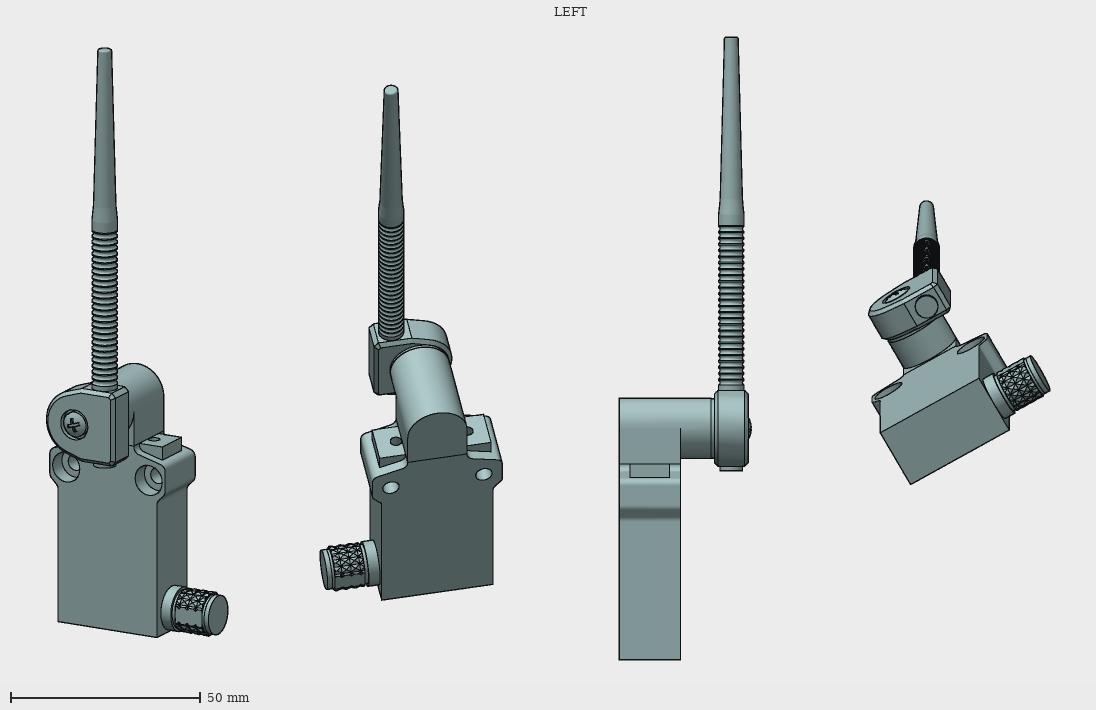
import cadquery as cq
import math


housing_width = 30.0
housing_depth = 16.2
housing_top = 51.8
lug_span = 35.0
lug_low_z = 39.87
lug_high_z = 47.5
shoulder_angle = math.radians(15)
housing_fillet = 2.0
lug_hole_x = 12.5
lug_hole_z = 43.0
lug_hole_diameter = 4.4
lug_counterbore_diameter = 8.2
lug_counterbore_depth = 5.0
pad_depth = 10.4
pad_hole_x = 9.6
pad_hole_diameter = 3.0
pad_hole_depth = 4.0

hub_diameter = 16.0
axis_z = 61.15
hub_front_y = -24.3
shaft_diameter = 12.0
shaft_collar_diameter = 15.8

lever_back_y = -25.1
lever_front_y = -34.1
lever_radius = 9.0
lever_half_height = 10.05
lever_right_x = 12.0
lever_flank_angle = math.radians(18)
lever_chamfer = 1.0
lever_corner = 1.2

screw_front_y = -34.9
screw_head_diameter = 6.8
screw_recess_diameter = 8.2
screw_recess_depth = 1.6
screw_dome_height = 1.1
screw_thread_diameter = 5.0
screw_thread_length = 12.0
cross_length = 3.6
cross_width = 0.8
cross_depth = 0.8
cross_angle = 18

rod_x = 6.7
rod_top = 164.5
rod_tip_diameter = 3.7
rod_tip_fillet = 0.5
rod_base_diameter = 6.0
ferrule_top = 121.5
ferrule_shoulder_z = 117.6
ferrule_bottom = 114.8
ferrule_diameter = 6.8
rod_core_diameter = 5.0
rod_foot_z = 49.9
coil_count = 26
coil_pitch = 1.625
coil_land = 0.3
coil_groove_depth = 0.4

connector_z = 6.15
flange_diameter = 12.0
flange_end_x = 18.0
grip_start_x = 18.9
grip_end_x = 27.0
nut_end_x = 27.7
connector_end_x = 29.0
connector_diameter = 10.6
stem_diameter = 8.0
grip_diameter = 12.0
grip_flats = 10.6
ring_groove_first_x = 20.05
ring_groove_count = 3
ring_groove_width = 2.5
knurl_count = 18
knurl_depth = 0.4
grip_chamfer = 0.3

housing_mid_y = -housing_depth / 2
lever_mid_y = (lever_back_y + lever_front_y) / 2
lever_top = axis_z + lever_half_height


def rod_along_y(diameter, start_y, end_y, x=0.0, z=axis_z):
    """Cylinder along Y running from start_y forward to end_y."""
    plane = cq.Plane(origin=(x, start_y, z), xDir=(1, 0, 0), normal=(0, -1, 0))
    return cq.Workplane(plane).circle(diameter / 2).extrude(start_y - end_y)


def rod_along_x(diameter, start_x, end_x):
    """Cylinder along X on the connector axis."""
    plane = cq.Workplane("YZ", origin=(start_x, housing_mid_y, connector_z))
    return plane.circle(diameter / 2).extrude(end_x - start_x)


def make_housing():
    """Plate with two mounting lugs, a rising neck root and a drilled pad on each shoulder."""
    half_width = housing_width / 2
    half_lug = lug_span / 2
    neck_x = hub_diameter / 2
    lug_root_z = lug_low_z - (half_lug - half_width)
    neck_root_z = lug_high_z + (half_lug - neck_x) * math.tan(shoulder_angle)
    body = (
        cq.Workplane("XZ")
        .moveTo(-half_width, 0)
        .lineTo(half_width, 0)
        .lineTo(half_width, lug_root_z)
        .lineTo(half_lug, lug_low_z)
        .lineTo(half_lug, lug_high_z)
        .lineTo(neck_x, neck_root_z)
        .lineTo(neck_x, housing_top)
        .lineTo(-neck_x, housing_top)
        .lineTo(-neck_x, neck_root_z)
        .lineTo(-half_lug, lug_high_z)
        .lineTo(-half_lug, lug_low_z)
        .lineTo(-half_width, lug_root_z)
        .close()
        .extrude(housing_depth)
        .edges("|Y")
        .filter(lambda edge: lug_root_z / 2 < edge.Center().z < (neck_root_z + housing_top) / 2)
        .fillet(housing_fillet)
    )
    pad = cq.Workplane("XY", origin=(0, housing_mid_y, lug_hole_z)).box(
        housing_width, pad_depth, housing_top - lug_hole_z, centered=(True, True, False)
    )
    body = body.union(pad)
    for side in (-1, 1):
        x = side * lug_hole_x
        hole = rod_along_y(lug_hole_diameter, 0, -housing_depth, x, lug_hole_z)
        counterbore = rod_along_y(
            lug_counterbore_diameter, lug_counterbore_depth - housing_depth, -housing_depth, x, lug_hole_z
        )
        pad_hole = (
            cq.Workplane("XY", origin=(side * pad_hole_x, housing_mid_y, housing_top))
            .circle(pad_hole_diameter / 2)
            .extrude(-pad_hole_depth)
        )
        body = body.cut(hole).cut(counterbore).cut(pad_hole)
    return body


def make_shaft():
    """Journal inside the hub with a collar between hub and lever."""
    journal = rod_along_y(shaft_diameter, -housing_depth, hub_front_y)
    return journal.union(rod_along_y(shaft_collar_diameter, hub_front_y, lever_back_y))


def make_operating_head(shaft):
    """Neck block rising into a round hub that is bored for the shaft."""
    neck = cq.Workplane("XY", origin=(0, housing_mid_y, housing_top)).box(
        hub_diameter, housing_depth, axis_z - housing_top, centered=(True, True, False)
    )
    return neck.union(rod_along_y(hub_diameter, 0, hub_front_y)).cut(shaft)


def make_screw():
    """Dome-headed screw with a cross recess, on the lever axis."""
    head_radius = screw_head_diameter / 2
    dome_edge_y = screw_front_y + screw_dome_height
    seat_y = lever_front_y + screw_recess_depth
    dome_radius = (head_radius**2 + screw_dome_height**2) / (2 * screw_dome_height)
    mid_radius = head_radius / 2
    dome_mid_y = screw_front_y + dome_radius - math.sqrt(dome_radius**2 - mid_radius**2)
    head = (
        cq.Workplane("XY", origin=(0, 0, axis_z))
        .moveTo(0, seat_y)
        .lineTo(head_radius, seat_y)
        .lineTo(head_radius, dome_edge_y)
        .threePointArc((mid_radius, dome_mid_y), (0, screw_front_y))
        .close()
        .revolve(360, (0, 0, 0), (0, 1, 0))
    )
    screw = head.union(rod_along_y(screw_thread_diameter, seat_y + screw_thread_length, seat_y))
    for arm_angle in (cross_angle, cross_angle + 90):
        arm = (
            cq.Workplane("XZ", origin=(0, screw_front_y, axis_z))
            .transformed(rotate=(0, 0, arm_angle))
            .rect(cross_length, cross_width)
            .extrude(-cross_depth)
        )
        screw = screw.cut(arm)
    return screw


def make_rod():
    """Tapered rod, its ferrule, and the core that passes through spring and lever."""
    base_radius = rod_base_diameter / 2
    ferrule_radius = ferrule_diameter / 2
    core_radius = rod_core_diameter / 2
    return (
        cq.Workplane("XZ", origin=(rod_x, lever_mid_y, 0))
        .moveTo(0, rod_foot_z)
        .lineTo(base_radius, rod_foot_z)
        .lineTo(base_radius, axis_z)
        .lineTo(core_radius, axis_z)
        .lineTo(core_radius, ferrule_bottom)
        .lineTo(ferrule_radius, ferrule_bottom)
        .lineTo(ferrule_radius, ferrule_shoulder_z)
        .lineTo(base_radius, ferrule_top)
        .lineTo(rod_tip_diameter / 2, rod_top)
        .lineTo(0, rod_top)
        .close()
        .revolve(360, (0, 0, 0), (0, 1, 0))
        .faces(">Z")
        .edges()
        .fillet(rod_tip_fillet)
    )


def make_spring():
    """Sleeve of close coils, each a narrow land and a hollow groove, above a plain foot."""
    crest_radius = ferrule_diameter / 2
    groove_radius = crest_radius - coil_groove_depth
    inner_radius = rod_core_diameter / 2
    coils_bottom = ferrule_bottom - coil_count * coil_pitch
    groove_width = coil_pitch - coil_land
    profile = (
        cq.Workplane("XZ", origin=(rod_x, lever_mid_y, 0))
        .moveTo(inner_radius, lever_top)
        .lineTo(crest_radius, lever_top)
    )
    for coil in range(coil_count):
        groove_start = coils_bottom + coil * coil_pitch
        groove_end = groove_start + groove_width
        groove_mid = (groove_start + groove_end) / 2
        profile = (
            profile.lineTo(crest_radius, groove_start)
            .threePointArc((groove_radius, groove_mid), (crest_radius, groove_end))
        )
    return (
        profile.lineTo(crest_radius, ferrule_bottom)
        .lineTo(inner_radius, ferrule_bottom)
        .close()
        .revolve(360, (0, 0, 0), (0, 1, 0))
    )


def make_lever(screw, rod):
    """D-shaped block: a round end, two tangent flanks and a square right end with cut corners."""
    sine = math.sin(lever_flank_angle)
    cosine = math.cos(lever_flank_angle)
    tangent_x = -lever_radius * sine
    tangent_z = lever_radius * cosine
    flank_end_x = (lever_half_height * cosine - lever_radius) / sine
    corner_x = lever_right_x - lever_corner
    corner_z = lever_half_height - lever_corner
    block = (
        cq.Workplane("XZ", origin=(0, lever_back_y, axis_z))
        .moveTo(tangent_x, tangent_z)
        .lineTo(flank_end_x, lever_half_height)
        .lineTo(corner_x, lever_half_height)
        .lineTo(lever_right_x, corner_z)
        .lineTo(lever_right_x, -corner_z)
        .lineTo(corner_x, -lever_half_height)
        .lineTo(flank_end_x, -lever_half_height)
        .lineTo(tangent_x, -tangent_z)
        .threePointArc((-lever_radius, 0), (tangent_x, tangent_z))
        .close()
        .extrude(lever_back_y - lever_front_y)
        .faces("<Y or >Y")
        .chamfer(lever_chamfer)
    )
    recess = rod_along_y(screw_recess_diameter, lever_front_y + screw_recess_depth, lever_front_y)
    return block.cut(recess).cut(screw).cut(rod)


def make_connector():
    """Flange, neck, stem inside the nut, and end collar."""
    flange = rod_along_x(flange_diameter, housing_width / 2, flange_end_x)
    neck = rod_along_x(connector_diameter, flange_end_x, grip_start_x)
    stem = rod_along_x(stem_diameter, grip_start_x, nut_end_x)
    tip = rod_along_x(connector_diameter, nut_end_x, connector_end_x)
    return flange.union(neck).union(stem).union(tip)


def make_nut():
    """Knurled coupling nut with a flat at the front and at the back."""
    grip_radius = grip_diameter / 2
    root_radius = grip_radius - knurl_depth
    grip_length = grip_end_x - grip_start_x
    grip = rod_along_x(grip_diameter, grip_start_x, grip_end_x)
    grip = grip.faces("<X or >X").chamfer(grip_chamfer)
    for ring in range(ring_groove_count):
        x = ring_groove_first_x + ring * ring_groove_width
        groove = (
            cq.Workplane("XY", origin=(0, housing_mid_y, connector_z))
            .moveTo(x - ring_groove_width / 2, grip_radius)
            .lineTo(x, root_radius)
            .lineTo(x + ring_groove_width / 2, grip_radius)
            .close()
            .revolve(360, (0, 0, 0), (1, 0, 0))
        )
        grip = grip.cut(groove)
    tooth_points = []
    for step in range(2 * knurl_count):
        radius = grip_radius if step % 2 == 0 else root_radius
        angle = math.pi * step / knurl_count
        tooth_points.append((radius * math.cos(angle), radius * math.sin(angle)))
    teeth = (
        cq.Workplane("YZ", origin=(grip_start_x, housing_mid_y, connector_z))
        .polyline(tooth_points)
        .close()
        .extrude(grip_length)
    )
    flats = cq.Workplane("XY", origin=(grip_start_x, housing_mid_y, connector_z)).box(
        grip_length, grip_flats, grip_diameter, centered=(False, True, True)
    )
    collar = rod_along_x(connector_diameter, grip_end_x, nut_end_x)
    bore = rod_along_x(stem_diameter, grip_start_x, nut_end_x)
    return grip.intersect(teeth).intersect(flats).union(collar).cut(bore)


housing = make_housing()
screw = make_screw()
full_shaft = make_shaft()
operating_head = make_operating_head(full_shaft)
shaft = full_shaft.cut(screw)
rod = make_rod()
spring = make_spring()
lever = make_lever(screw, rod)
connector = make_connector()
nut = make_nut()

result = cq.Compound.makeCompound(
    [
        housing.val(),
        operating_head.val(),
        shaft.val(),
        lever.val(),
        screw.val(),
        rod.val(),
        spring.val(),
        connector.val(),
        nut.val(),
    ]
)